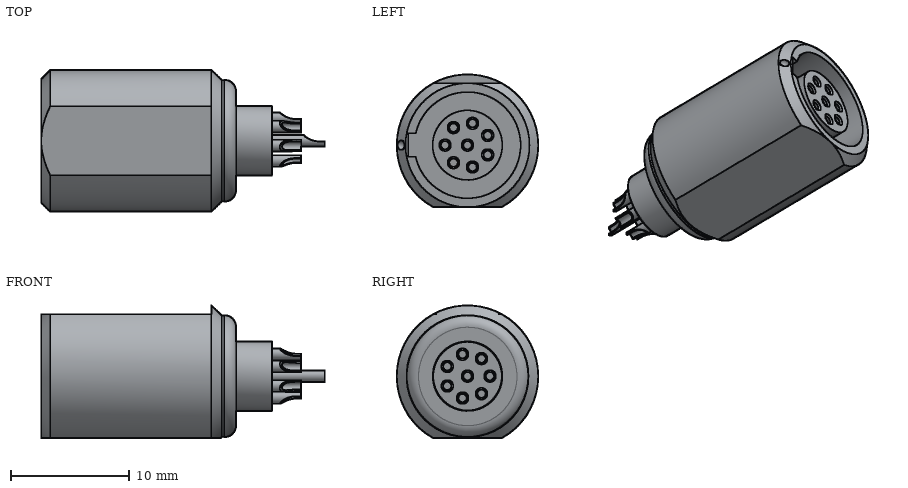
import cadquery as cq
import math


shell_radius = 6.0
front_chamfer = 0.75
shell_end_x = 14.4
flat_height = 5.25
cone_end_x = 15.3
groove_radius = 5.14
collar_start_x = 15.5
collar_radius = 5.17
collar_fillet = 1.0
collar_end_x = 16.5

socket_radius = 4.5
socket_depth = 5.0
keyway_width = 2.0
keyway_reach = 5.0
index_dot_radius = 0.4

insert_radius = 2.95
insert_front_x = 0.4
insert_end_x = 19.55
insert_chamfer = 0.05

ring_contacts = 7
ring_radius = 1.9
contact_hole_diameter = 0.7
contact_hole_depth = 4.0
countersink_diameter = 1.0
countersink_depth = 0.15

cup_radius = 0.5
cup_bore_radius = 0.35
cup_bore_depth = 2.0
cup_cut_length = 1.8
cup_cut_arc_radius = 2.0
cup_cut_past_axis = 0.05
ring_cup_end_x = 22.0
centre_cup_end_x = 24.0


def cylinder_x(radius, start_x, end_x, y=0.0, z=0.0):
    """Cylinder parallel to X."""
    base = cq.Workplane("YZ", origin=(start_x, y, z))
    return base.circle(radius).extrude(end_x - start_x)


def revolve_x(outline):
    """Turn a closed half outline in the XY plane about the X axis."""
    return outline.close().revolve(360, (0, 0, 0), (1, 0, 0))


def make_shell():
    front = (
        cq.Workplane("XY")
        .lineTo(0, shell_radius - front_chamfer)
        .lineTo(front_chamfer, shell_radius)
        .lineTo(shell_end_x, shell_radius)
        .lineTo(shell_end_x, 0)
    )
    rear = (
        cq.Workplane("XY")
        .moveTo(shell_end_x, 0)
        .lineTo(shell_end_x, shell_radius)
        .lineTo(cone_end_x, groove_radius)
        .lineTo(collar_start_x, groove_radius)
        .lineTo(collar_start_x, collar_radius)
        .radiusArc((collar_end_x, collar_radius - collar_fillet), collar_fillet)
        .lineTo(collar_end_x, 0)
    )
    width = 2 * shell_radius
    upper_side = cq.Workplane("XY").box(
        shell_end_x, width, flat_height, centered=(False, True, False)
    )
    lower_side = cq.Workplane("XY").box(
        collar_end_x, width, flat_height, centered=(False, True, False)
    ).translate((0, 0, -flat_height))
    upper_rear = cq.Workplane("XY").box(
        collar_end_x - shell_end_x, width, shell_radius, centered=(False, True, False)
    ).translate((shell_end_x, 0, 0))
    envelope = upper_side.union(lower_side).union(upper_rear)
    return revolve_x(front).union(revolve_x(rear)).intersect(envelope)


def make_socket():
    """Round socket with a keyway on the +Y side."""
    bore = cylinder_x(socket_radius, 0, socket_depth)
    keyway = cq.Workplane("XY").box(
        socket_depth, keyway_reach, keyway_width, centered=(False, False, True)
    )
    return bore.union(keyway)


def make_index_dot():
    """Ball that presses a round dimple into the front chamfer, in line with the keyway."""
    dot_y = shell_radius - front_chamfer / 2
    return cq.Workplane("XY").sphere(index_dot_radius).translate((front_chamfer / 2, dot_y, 0))


def make_insert():
    insert = cylinder_x(insert_radius, insert_front_x, insert_end_x)
    return insert.faces(">X").chamfer(insert_chamfer)


def make_contact_hole(y, z):
    """Countersunk blind hole in the front of the insert."""
    hole_radius = contact_hole_diameter / 2
    outline = (
        cq.Workplane("XY")
        .moveTo(insert_front_x, 0)
        .lineTo(insert_front_x, countersink_diameter / 2)
        .lineTo(insert_front_x + countersink_depth, hole_radius)
        .lineTo(insert_front_x + contact_hole_depth, hole_radius)
        .lineTo(insert_front_x + contact_hole_depth, 0)
    )
    return revolve_x(outline).translate((0, y, z))


def make_solder_cup(end_x):
    """Bored pin on the X axis with its +Y half cut away towards the end."""
    pin = cylinder_x(cup_radius, insert_end_x - insert_chamfer, end_x)
    bore = cylinder_x(cup_bore_radius, end_x - cup_bore_depth, end_x)
    cut_start_x = end_x - cup_cut_length
    arc_drop = cup_radius + cup_cut_past_axis
    arc_run = math.sqrt(cup_cut_arc_radius**2 - (cup_cut_arc_radius - arc_drop) ** 2)
    cut = (
        cq.Workplane("XY")
        .moveTo(cut_start_x, cup_radius)
        .radiusArc((cut_start_x + arc_run, -cup_cut_past_axis), -cup_cut_arc_radius)
        .lineTo(end_x, -cup_cut_past_axis)
        .lineTo(end_x, cup_radius)
        .close()
        .extrude(cup_radius, both=True)
    )
    return pin.cut(bore).cut(cut)


shell = make_shell().cut(make_socket()).cut(make_index_dot())
result = shell.union(make_insert())

result = result.cut(make_contact_hole(0, 0))
result = result.union(make_solder_cup(centre_cup_end_x))

for index in range(ring_contacts):
    angle = 360 / ring_contacts * index
    y = ring_radius * math.cos(math.radians(angle))
    z = ring_radius * math.sin(math.radians(angle))
    result = result.cut(make_contact_hole(y, z))
    cup = make_solder_cup(ring_cup_end_x).rotate((0, 0, 0), (1, 0, 0), angle)
    result = result.union(cup.translate((0, y, z)))